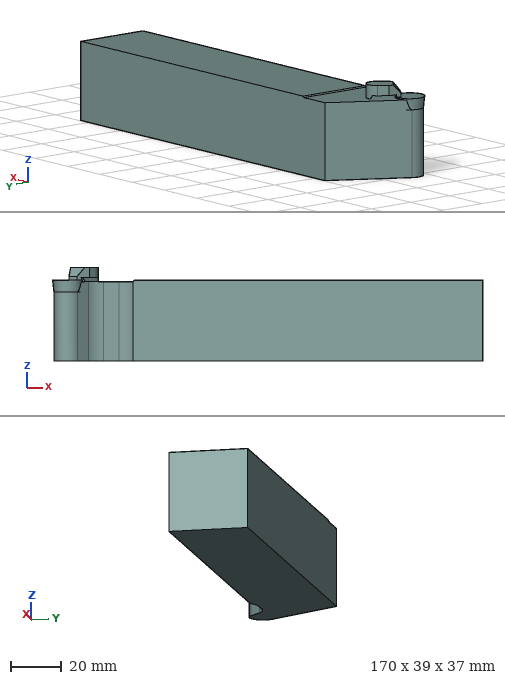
import cadquery as cq
import math

length = 170.0
total_width = 39.0
shank_size = 32.0
shank_front_y = total_width - shank_size
head_end_x = 31.8
head_drop = 0.5
head_top_z = shank_size - head_drop
step_run = 0.5
flank_angle = math.radians(60)
neck_angle = math.radians(45)
relief_radius = 8.5
relief_y = 9.0

insert_radius = 6.0
insert_thickness = 4.6
insert_base_radius = 5.5
insert_base_z = shank_size - insert_thickness

clamp_angle = 53.0
clamp_top_z = 37.0
clamp_half_width = 4.5
tail_center = 13.0
taper_start = 8.5
ridge_station = 6.6
tip_station = 3.5
tip_half_width = 2.0
tip_height = 1.5
gap_height = 1.0
gap_front = 5.5
gap_back = 15.0
gap_back_base = 15.8


def make_insert():
    """Round insert whose side narrows toward its seat."""
    return (
        cq.Workplane("XY", origin=(insert_radius, insert_radius, insert_base_z))
        .circle(insert_base_radius)
        .workplane(offset=insert_thickness)
        .circle(insert_radius)
        .loft(ruled=True)
    )


def make_shank():
    """Square bar with a nose whose flanks run tangent to the insert post."""
    center = insert_radius
    post_radius = insert_base_radius
    flank_x = center - post_radius * math.sin(flank_angle)
    flank_y = center + post_radius * math.cos(flank_angle)
    flank_top_x = flank_x + (total_width - flank_y) / math.tan(flank_angle)
    neck_x = center + post_radius * math.sin(neck_angle)
    neck_y = center - post_radius * math.cos(neck_angle)
    middle_angle = math.pi + (flank_angle + neck_angle) / 2
    post_middle = (
        center + post_radius * math.cos(middle_angle),
        center + post_radius * math.sin(middle_angle),
    )

    arc_start_y = relief_y - relief_radius * (1 - math.cos(neck_angle))
    arc_start_x = neck_x + (arc_start_y - neck_y) / math.tan(neck_angle)
    arc_end_x = arc_start_x + relief_radius * math.sin(neck_angle)
    arc_middle = (
        arc_end_x - relief_radius * math.sin(neck_angle / 2),
        relief_y - relief_radius * (1 - math.cos(neck_angle / 2)),
    )

    exit_angle = math.acos(1 - (relief_y - shank_front_y) / relief_radius)
    exit_start_x = head_end_x - relief_radius * math.sin(exit_angle)
    exit_middle = (
        exit_start_x + relief_radius * math.sin(exit_angle / 2),
        relief_y - relief_radius * (1 - math.cos(exit_angle / 2)),
    )

    bar = (
        cq.Workplane("XY")
        .moveTo(flank_x, flank_y)
        .threePointArc(post_middle, (neck_x, neck_y))
        .lineTo(arc_start_x, arc_start_y)
        .threePointArc(arc_middle, (arc_end_x, relief_y))
        .lineTo(exit_start_x, relief_y)
        .threePointArc(exit_middle, (head_end_x, shank_front_y))
        .lineTo(length, shank_front_y)
        .lineTo(length, total_width)
        .lineTo(flank_top_x, total_width)
        .close()
        .extrude(shank_size)
    )

    head_relief = (
        cq.Workplane("XZ")
        .moveTo(0, head_top_z)
        .lineTo(head_end_x, head_top_z)
        .lineTo(head_end_x + step_run, shank_size)
        .lineTo(0, shank_size)
        .close()
        .extrude(-total_width)
    )
    return bar.cut(head_relief)


def make_clamp():
    """Clamp finger with a round tail, a sloped nose and an open gap beneath."""
    finger = (
        cq.Workplane("XY", origin=(0, 0, head_top_z))
        .moveTo(tip_station, tip_half_width)
        .lineTo(taper_start, clamp_half_width)
        .lineTo(tail_center, clamp_half_width)
        .threePointArc((tail_center + clamp_half_width, 0), (tail_center, -clamp_half_width))
        .lineTo(taper_start, -clamp_half_width)
        .lineTo(tip_station, -tip_half_width)
        .close()
        .extrude(clamp_top_z - head_top_z)
    )
    gap_top_z = shank_size + gap_height
    profile = (
        cq.Workplane("XZ")
        .moveTo(tip_station, shank_size)
        .lineTo(tip_station, shank_size + tip_height)
        .lineTo(ridge_station, clamp_top_z)
        .lineTo(tail_center + clamp_half_width, clamp_top_z)
        .lineTo(tail_center + clamp_half_width, head_top_z)
        .lineTo(gap_back_base, head_top_z)
        .lineTo(gap_back, gap_top_z)
        .lineTo(gap_front, gap_top_z)
        .lineTo(gap_front, shank_size)
        .close()
        .extrude(clamp_half_width, both=True)
    )
    return (
        finger.intersect(profile)
        .rotate((0, 0, 0), (0, 0, 1), clamp_angle)
        .translate((insert_radius, insert_radius, 0))
    )


insert = make_insert()
holder = make_shank().union(make_clamp()).cut(insert)

result = cq.Compound.makeCompound([holder.val(), insert.val()])